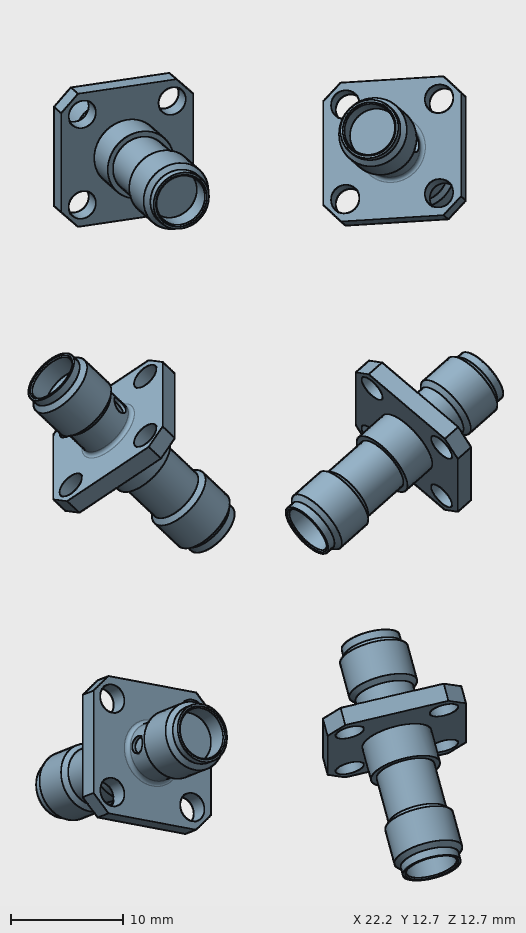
import cadquery as cq

length = 22.23
left_end = -length / 2
right_end = length / 2

neck_radius = 2.665
thread_radius = 3.125
pilot_length = 0.77
coupling_length = 5.05
thread_bevel = thread_radius - neck_radius

bore_radius = 2.32
bore_depth = 2.03
mouth_bevel = 0.13
mouth_angle = 45

flange_size = 12.7
flange_thickness = 1.7
flange_start = left_end + 7.85
flange_end = flange_start + flange_thickness
corner_bevel = 1.62
mounting_hole_diameter = 2.6
mounting_hole_pitch = 8.64

shoulder_radius = 3.175
shoulder_length = 3.15
root_fillet = 0.38

side_hole_diameter = 1.6
side_hole_x = left_end + 6.35
core_radius = bore_radius


def cylinder(start, end, radius):
    """Solid cylinder along X from start to end."""
    return cq.Workplane("YZ", origin=(start, 0, 0)).circle(radius).extrude(end - start)


def coupling():
    """Raised thread band of the left end, bevelled on both edges."""
    band = cylinder(left_end + pilot_length, left_end + coupling_length, thread_radius)
    return band.faces("<X or >X").chamfer(thread_bevel)


def socket():
    """Blind bore of the left end with a bevelled mouth, as a cutting body."""
    bore = cylinder(left_end, left_end + bore_depth, bore_radius)
    mouth = (
        cq.Workplane("YZ", origin=(left_end, 0, 0))
        .circle(bore_radius + mouth_bevel)
        .extrude(mouth_bevel, taper=mouth_angle)
    )
    return bore.union(mouth)


def both_ends(left_body):
    """The left end body together with its mirror image at the right end."""
    return left_body.union(left_body.mirror("YZ"))


def flange():
    """Square plate with bevelled corners and a hole near each corner."""
    plate = (
        cq.Workplane("YZ", origin=(flange_start, 0, 0))
        .rect(flange_size, flange_size)
        .extrude(flange_thickness)
        .edges("|X")
        .chamfer(corner_bevel)
    )
    holes = (
        cq.Workplane("YZ", origin=(flange_start, 0, 0))
        .rect(mounting_hole_pitch, mounting_hole_pitch, forConstruction=True)
        .vertices()
        .circle(mounting_hole_diameter / 2)
        .extrude(flange_thickness)
    )
    return plate.cut(holes)


def root():
    """Concave fillet ring where the front neck meets the flange."""
    return (
        cq.Workplane("XY")
        .moveTo(flange_start - root_fillet, 0)
        .lineTo(flange_start - root_fillet, neck_radius)
        .radiusArc((flange_start, neck_radius + root_fillet), -root_fillet)
        .lineTo(flange_start, 0)
        .close()
        .revolve(axisStart=(0, 0, 0), axisEnd=(1, 0, 0))
    )


def side_holes():
    """Pair of opposed radial holes along Y, cleared of the round core between them."""
    drill = (
        cq.Workplane("XZ", origin=(side_hole_x, 0, 0))
        .circle(side_hole_diameter / 2)
        .extrude(thread_radius, both=True)
    )
    core = cylinder(side_hole_x - side_hole_diameter, side_hole_x + side_hole_diameter, core_radius)
    return drill.cut(core)


body = cylinder(left_end, right_end, neck_radius)
body = body.union(both_ends(coupling()))
body = body.union(root())
body = body.union(flange())
body = body.union(cylinder(flange_end, flange_end + shoulder_length, shoulder_radius))
body = body.cut(both_ends(socket()))
result = body.cut(side_holes())